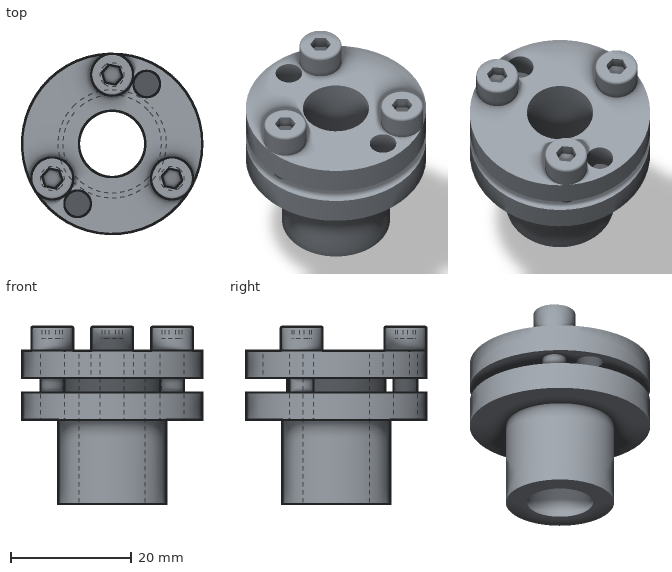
import cadquery as cq
import math

FLANGE_DIAMETER = 30.0
HUB_DIAMETER = 18.0
NECK_DIAMETER = 16.35
BORE_DIAMETER = 10.98
HUB_HEIGHT = 14.0
FLANGE_THICKNESS = 4.55
GAP_HEIGHT = 2.37

PITCH_RADIUS = 11.5
SCREW_ANGLES = (90, 210, 330)
PIN_HOLE_ANGLES = (60, 240)
PIN_HOLE_DIAMETER = 4.4

HEAD_DIAMETER = 7.0
HEAD_HEIGHT = 4.0
HEAD_EDGE_RADIUS = 0.4
SHANK_DIAMETER = 4.0
SOCKET_WIDTH = 3.0
SOCKET_DEPTH = 2.0
SOCKET_TURN = -12.0

LOWER_FLANGE_TOP = HUB_HEIGHT + FLANGE_THICKNESS
UPPER_FLANGE_BOTTOM = LOWER_FLANGE_TOP + GAP_HEIGHT
UPPER_FLANGE_TOP = UPPER_FLANGE_BOTTOM + FLANGE_THICKNESS

SHANK_LENGTH = UPPER_FLANGE_TOP - HUB_HEIGHT


def cylinder(diameter, bottom, top):
    """Upright cylinder on the Z axis between two levels."""
    return cq.Workplane("XY").workplane(offset=bottom).circle(diameter / 2).extrude(top - bottom)


def pitch_point(angle):
    """Point on the pitch circle at an angle in degrees from +X."""
    return (
        PITCH_RADIUS * math.cos(math.radians(angle)),
        PITCH_RADIUS * math.sin(math.radians(angle)),
        0,
    )


def make_coupling():
    """Hub, neck and both flanges in one piece, with the bore, screw holes and pin holes."""
    coupling = (
        cylinder(HUB_DIAMETER, 0, HUB_HEIGHT)
        .union(cylinder(FLANGE_DIAMETER, HUB_HEIGHT, LOWER_FLANGE_TOP))
        .union(cylinder(NECK_DIAMETER, LOWER_FLANGE_TOP, UPPER_FLANGE_BOTTOM))
        .union(cylinder(FLANGE_DIAMETER, UPPER_FLANGE_BOTTOM, UPPER_FLANGE_TOP))
        .cut(cylinder(BORE_DIAMETER, 0, UPPER_FLANGE_TOP))
    )

    screw_hole = cylinder(SHANK_DIAMETER, HUB_HEIGHT, UPPER_FLANGE_TOP)
    for angle in SCREW_ANGLES:
        coupling = coupling.cut(screw_hole.translate(pitch_point(angle)))

    pin_hole = cylinder(PIN_HOLE_DIAMETER, UPPER_FLANGE_BOTTOM, UPPER_FLANGE_TOP)
    for angle in PIN_HOLE_ANGLES:
        coupling = coupling.cut(pin_hole.translate(pitch_point(angle)))
    return coupling


def make_screw(angle):
    """Socket head screw seated on the upper flange at an angle on the pitch circle."""
    head_top = UPPER_FLANGE_TOP + HEAD_HEIGHT
    head = cylinder(HEAD_DIAMETER, UPPER_FLANGE_TOP, head_top).faces(">Z").edges().fillet(HEAD_EDGE_RADIUS)
    shank = cylinder(SHANK_DIAMETER, UPPER_FLANGE_TOP - SHANK_LENGTH, UPPER_FLANGE_TOP)

    socket_across_corners = SOCKET_WIDTH / math.cos(math.radians(30))
    socket = (
        cq.Workplane("XY")
        .workplane(offset=head_top - SOCKET_DEPTH)
        .polygon(6, socket_across_corners)
        .extrude(SOCKET_DEPTH)
        .rotate((0, 0, 0), (0, 0, 1), SOCKET_TURN)
    )
    return head.union(shank).cut(socket).translate(pitch_point(angle))


coupling = make_coupling()
screws = [make_screw(angle) for angle in SCREW_ANGLES]

result = cq.Compound.makeCompound([coupling.val(), *[screw.val() for screw in screws]])